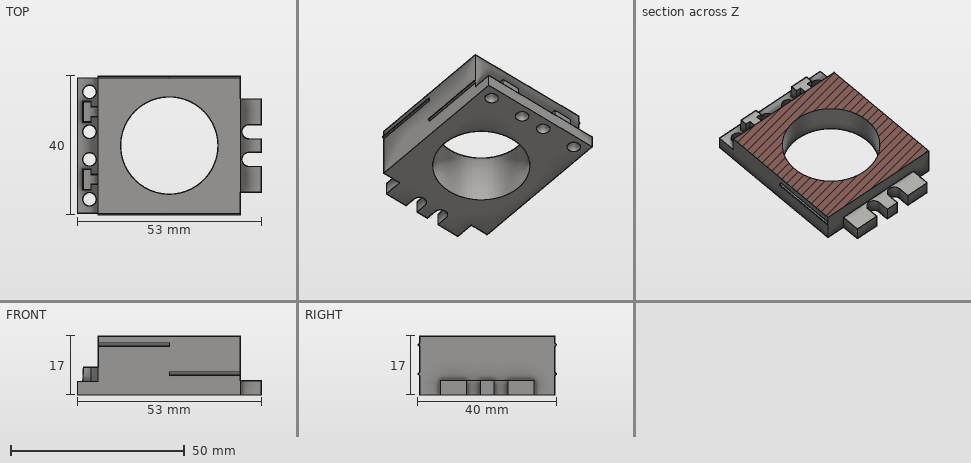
import cadquery as cq

total_length = 53.0
body_length = 41.0
body_width = 39.0
body_height = 17.0
bore_diameter = 28.0

flange_length = (total_length - body_length) / 2
flange_height = 4.0
tab_width = 27.0
tab_height = 4.2

hole_diameter = 3.8
hole_edge_distance = 3.5
hole_inner_y = 4.0
hole_outer_y = 15.5
slot_width = 4.05
slot_depth = 5.55

key_y = 9.75
key_height = 4.1
key_edge_distance = 1.55
key_head_length = 2.35
key_head_width = 6.1
key_stem_width = 3.0
key_draft = 0.185

ridge_projection = 0.505
ridge_height = 1.0
ridge_low_z = 6.1
ridge_high_z = 14.45

body_end = body_length / 2
total_end = total_length / 2
side_y = body_width / 2


def block(x_start, x_end, width, height):
    """Block symmetric about Y = 0 and resting on Z = 0."""
    length = x_end - x_start
    return (
        cq.Workplane("XY")
        .box(length, width, height, centered=(False, True, False))
        .translate((x_start, 0, 0))
    )


def drafted_bar(x_start, x_end, width, front_draft, y_center):
    """Bar on the flange narrowing upwards; its +X end stays vertical."""
    half_base = width / 2
    half_top = half_base - key_draft
    base = [
        (x_start, -half_base),
        (x_end, -half_base),
        (x_end, half_base),
        (x_start, half_base),
    ]
    top = [
        (x_start + front_draft, -half_top),
        (x_end, -half_top),
        (x_end, half_top),
        (x_start + front_draft, half_top),
    ]
    return (
        cq.Workplane("XY", origin=(0, y_center, flange_height))
        .polyline(base)
        .close()
        .workplane(offset=key_height)
        .polyline(top)
        .close()
        .loft(ruled=True)
    )


def key(y_center):
    """T-shaped key joining the body end face."""
    head_start = key_edge_distance - total_end
    head_end = head_start + key_head_length
    head = drafted_bar(head_start, head_end, key_head_width, key_draft, y_center)
    stem = drafted_bar(head_end, -body_end, key_stem_width, 0, y_center)
    return head.union(stem)


def ridge(x_start, z_center):
    """Triangular ridge along half of the -Y side."""
    return (
        cq.Workplane("YZ", origin=(x_start, 0, 0))
        .moveTo(-side_y, z_center - ridge_height / 2)
        .lineTo(-side_y - ridge_projection, z_center)
        .lineTo(-side_y, z_center + ridge_height / 2)
        .close()
        .extrude(body_end)
    )


def open_slot(y_center):
    """Round-bottomed slot open at the +X end of the tab."""
    radius = slot_width / 2
    arc_x = total_end - slot_depth + radius
    return (
        cq.Workplane("XY")
        .moveTo(total_end, y_center - radius)
        .lineTo(arc_x, y_center - radius)
        .threePointArc((arc_x - radius, y_center), (arc_x, y_center + radius))
        .lineTo(total_end, y_center + radius)
        .close()
        .extrude(tab_height)
    )


result = block(-body_end, body_end, body_width, body_height)
result = result.union(block(-total_end, -body_end, body_width, flange_height))
result = result.union(block(body_end, total_end, tab_width, tab_height))

for y_center in (-key_y, key_y):
    result = result.union(key(y_center))

ridges = ridge(-body_end, ridge_high_z).union(ridge(0, ridge_low_z))
for turn in (0, 180):
    result = result.union(ridges.rotate((0, 0, 0), (0, 0, 1), turn))

result = result.cut(cq.Workplane("XY").circle(bore_diameter / 2).extrude(body_height))

hole_x = hole_edge_distance - total_end
hole_points = [(hole_x, y) for y in (-hole_outer_y, -hole_inner_y, hole_inner_y, hole_outer_y)]
result = result.cut(
    cq.Workplane("XY").pushPoints(hole_points).circle(hole_diameter / 2).extrude(flange_height)
)
for y_center in (-hole_inner_y, hole_inner_y):
    result = result.cut(open_slot(y_center))